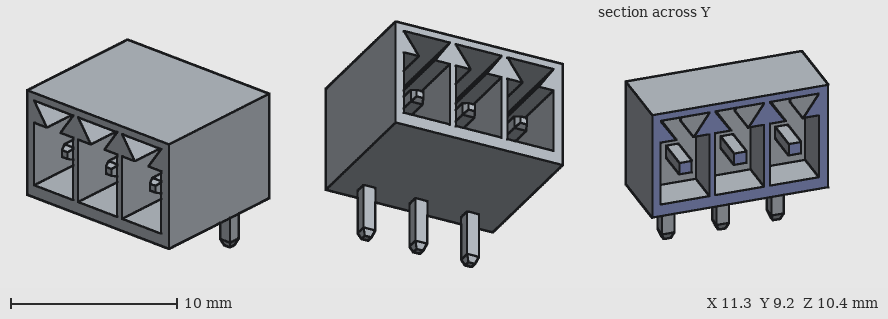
import cadquery as cq

HOUSING_WIDTH = 11.3
HOUSING_DEPTH = 9.2
HOUSING_HEIGHT = 7.01

CONTACT_COUNT = 3
PITCH = 3.5
PIN_SIZE = 0.8
TIP_SIZE = 0.45
TIP_LENGTH = 0.44
MATING_TIP_Y = 0.97
MATING_PIN_Z = 3.03
TAIL_LENGTH = 3.39
TAIL_Y = HOUSING_DEPTH - 1.19

CAVITY_WIDTH = 3.11
CAVITY_BOTTOM = 0.82
SHOULDER_Z = 5.01
CAVITY_TOP = 6.49
NECK_WIDTH = 1.08
CAVITY_OFFSET = -0.03
BACK_WALL = 2.26
CAVITY_DEPTH = HOUSING_DEPTH - BACK_WALL


def make_housing():
    return cq.Workplane("XY").box(
        HOUSING_WIDTH, HOUSING_DEPTH, HOUSING_HEIGHT, centered=(True, False, False)
    )


def make_cavity(center_x):
    """Cavity opening through the front face, ending at the back wall."""
    half_width = CAVITY_WIDTH / 2
    half_neck = NECK_WIDTH / 2
    right_side = [
        (half_width, CAVITY_BOTTOM),
        (half_width, SHOULDER_Z),
        (half_neck, SHOULDER_Z),
        (half_width, CAVITY_TOP),
    ]
    left_side = [(-x, z) for x, z in reversed(right_side)]
    outline = cq.Workplane("XZ").polyline(right_side + left_side).close()
    return outline.extrude(-CAVITY_DEPTH).translate((center_x, 0, 0))


def make_pin(tip_center, direction, length):
    """Square pin running from its tapered tip along the given direction."""
    plane = cq.Plane(origin=tip_center, xDir=(1, 0, 0), normal=direction)
    tip = (
        cq.Workplane(plane)
        .rect(TIP_SIZE, TIP_SIZE)
        .workplane(offset=TIP_LENGTH)
        .rect(PIN_SIZE, PIN_SIZE)
        .loft(ruled=True)
    )
    shank = (
        cq.Workplane(plane)
        .workplane(offset=TIP_LENGTH)
        .rect(PIN_SIZE, PIN_SIZE)
        .extrude(length - TIP_LENGTH)
    )
    return tip.union(shank)


def make_contact(center_x):
    """Right-angle contact: a mating pin to the front and a solder tail below."""
    mating_length = TAIL_Y + PIN_SIZE / 2 - MATING_TIP_Y
    tail_length = TAIL_LENGTH + MATING_PIN_Z + PIN_SIZE / 2
    mating_pin = make_pin((center_x, MATING_TIP_Y, MATING_PIN_Z), (0, 1, 0), mating_length)
    solder_tail = make_pin((center_x, TAIL_Y, -TAIL_LENGTH), (0, 0, 1), tail_length)
    return mating_pin.union(solder_tail)


contact_positions = [(i - (CONTACT_COUNT - 1) / 2) * PITCH for i in range(CONTACT_COUNT)]

result = make_housing()
for position in contact_positions:
    result = result.cut(make_cavity(position + CAVITY_OFFSET))
for position in contact_positions:
    result = result.union(make_contact(position))